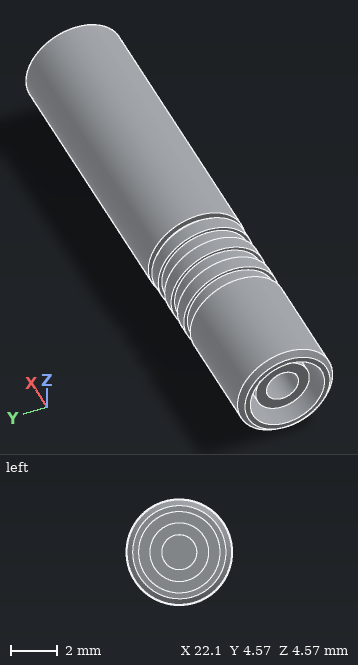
import cadquery as cq

length = 22.1
sleeve_radius = 2.287

nose_radius = 2.243
nose_chamfer = 0.25
groove_radius = 2.08
groove_width = 0.66
groove_count = 3
groove_pitch = 2 * groove_width
first_groove_start = 5.15
nose_end_chamfer = 0.27
nose_length = first_groove_start + groove_count * groove_pitch + nose_end_chamfer

socket_radius = 1.75
socket_depth = 4.42
contact_radius = 1.25
contact_recess = 0.5
contact_hole_radius = 0.75
contact_length = socket_depth - contact_recess


def cylinder(start, depth, radius):
    """Solid cylinder on the X axis, running from start towards +X."""
    return cq.Workplane("YZ").workplane(offset=start).circle(radius).extrude(depth)


def make_nose():
    nose = cylinder(0, nose_length, nose_radius)
    nose = nose.faces("<X").chamfer(nose_chamfer)
    nose = nose.faces(">X").chamfer(nose_end_chamfer)
    for index in range(groove_count):
        start = first_groove_start + index * groove_pitch
        ring = cylinder(start, groove_width, sleeve_radius)
        ring = ring.cut(cylinder(start, groove_width, groove_radius))
        nose = nose.cut(ring)
    return nose


def make_contact():
    contact = cylinder(contact_recess, contact_length, contact_radius)
    return contact.cut(cylinder(contact_recess, contact_length, contact_hole_radius))


sleeve = cylinder(nose_length, length - nose_length, sleeve_radius)
body = make_nose().union(sleeve)
body = body.cut(cylinder(0, socket_depth, socket_radius))
result = body.union(make_contact())